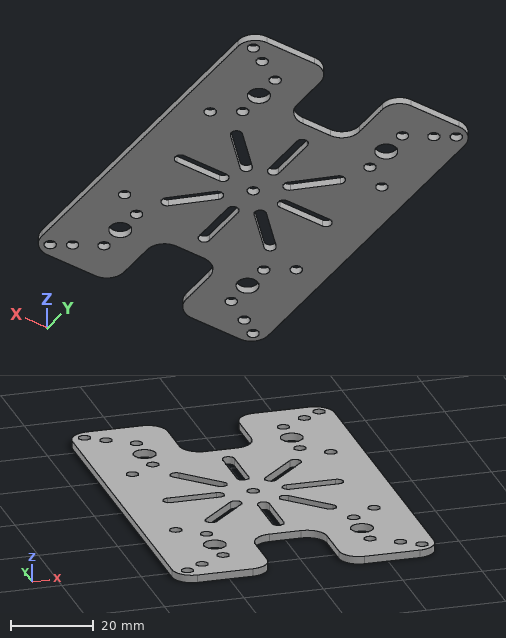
import cadquery as cq

LENGTH = 95.0
WIDTH = 66.0
THICKNESS = 2.0
CORNER_RADIUS = 5.0

NOTCH_WIDTH = 18.05
NOTCH_DEPTH = 20.0

SMALL_HOLE = 2.9
LARGE_HOLE = 5.5
LARGE_HOLE_X = 18.5
LARGE_HOLE_Y = 30.0
SATELLITE_OFFSET = 7.0
OUTER_HOLE_X = 25.0
OUTER_HOLES = [
    (OUTER_HOLE_X, 18.5),
    (OUTER_HOLE_X, 41.0),
    (29.5, 44.0),
]

SLOT_COUNT = 8
SLOT_WIDTH = SMALL_HOLE
SLOT_LENGTH = 15.3
SLOT_CENTRE_RADIUS = 15.0


def mirrored(points):
    """Repeat the points in all four quarters of the plate."""
    return [(sx * x, sy * y) for x, y in points for sx in (-1, 1) for sy in (-1, 1)]


def make_plate():
    """H-shaped plate with every outline corner rounded."""
    plate = cq.Workplane("XY").box(WIDTH, LENGTH, THICKNESS)
    notch_centres = [(0, -LENGTH / 2), (0, LENGTH / 2)]
    notches = (
        cq.Workplane("XY")
        .pushPoints(notch_centres)
        .rect(NOTCH_WIDTH, 2 * NOTCH_DEPTH)
        .extrude(THICKNESS, both=True)
    )
    return plate.cut(notches).edges("|Z").fillet(CORNER_RADIUS)


def drill(plate, points, diameter):
    """Drill through holes at the given points."""
    return plate.faces(">Z").workplane(origin=(0, 0, 0)).pushPoints(points).hole(diameter)


def cut_radial_slots(plate):
    """Cut the star of round-ended slots pointing at the plate centre."""
    slots = (
        cq.Workplane("XY")
        .polarArray(SLOT_CENTRE_RADIUS, 0, 360, SLOT_COUNT)
        .slot2D(SLOT_LENGTH, SLOT_WIDTH)
        .extrude(THICKNESS, both=True)
    )
    return plate.cut(slots)


large_holes = [(LARGE_HOLE_X, LARGE_HOLE_Y)]
satellite_holes = [
    (LARGE_HOLE_X, LARGE_HOLE_Y - SATELLITE_OFFSET),
    (LARGE_HOLE_X, LARGE_HOLE_Y + SATELLITE_OFFSET),
]
centre_hole = [(0, 0)]

result = make_plate()
result = drill(result, mirrored(large_holes), LARGE_HOLE)
result = drill(result, mirrored(satellite_holes + OUTER_HOLES) + centre_hole, SMALL_HOLE)
result = cut_radial_slots(result)